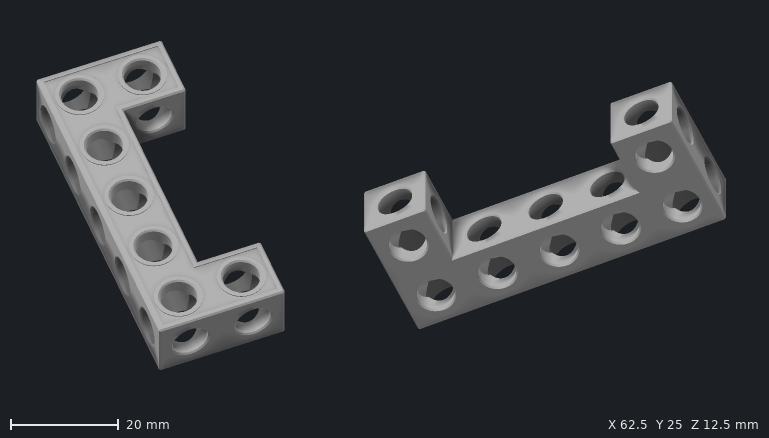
import cadquery as cq

pitch = 12.5
cells_long = 5
cells_deep = 2
length = cells_long * pitch
depth = cells_deep * pitch
height = pitch

edge_chamfer = 0.3
hole_diameter = 7.0
hole_chamfer = 0.3

border_width = 1.1
recess_depth = 0.2
ring_diameter = 9.2


def cell_center(index):
    return (index + 0.5) * pitch


def u_prism(inset, thickness):
    """Prism over the U outline moved inward by inset, standing on Z = 0."""
    right = length - inset
    back = depth - inset
    arm = pitch - inset
    outline = [
        (inset, inset),
        (right, inset),
        (right, back),
        (length - arm, back),
        (length - arm, arm),
        (arm, arm),
        (arm, back),
        (inset, back),
    ]
    return cq.Workplane("XY").polyline(outline).close().extrude(thickness)


def hole_cutter(through_length):
    """Cutter along +Z from the origin, flared by a chamfer at both mouths."""
    radius = hole_diameter / 2
    mouth_radius = radius + hole_chamfer
    profile = [
        (0, 0),
        (mouth_radius, 0),
        (radius, hole_chamfer),
        (radius, through_length - hole_chamfer),
        (mouth_radius, through_length),
        (0, through_length),
    ]
    return cq.Workplane("XZ").polyline(profile).close().revolve(360, (0, 0), (0, 1))


def hole_along_x(x, y, through_length):
    cutter = hole_cutter(through_length).rotate((0, 0, 0), (0, 1, 0), 90)
    return cutter.translate((x, y, height / 2))


def hole_along_y(x, through_length):
    cutter = hole_cutter(through_length).rotate((0, 0, 0), (1, 0, 0), -90)
    return cutter.translate((x, 0, height / 2))


end_columns = (0, cells_long - 1)
cell_centers = [(cell_center(column), cell_center(0)) for column in range(cells_long)]
cell_centers += [(cell_center(column), cell_center(1)) for column in end_columns]

body = u_prism(0, height)
inner_corners = [(pitch, pitch), (length - pitch, pitch)]
upright_edges = body.edges("|Z").filter(
    lambda edge: (round(edge.Center().x, 3), round(edge.Center().y, 3)) not in inner_corners
)
body = upright_edges.chamfer(edge_chamfer)
body = body.faces("<Z or >Z").edges().chamfer(edge_chamfer)

recess = u_prism(border_width, recess_depth)
rings = cq.Workplane("XY").pushPoints(cell_centers).circle(ring_diameter / 2).extrude(recess_depth)
body = body.cut(recess.cut(rings).translate((0, 0, height - recess_depth)))

for x, y in cell_centers:
    body = body.cut(hole_cutter(height).translate((x, y, 0)))

for column in range(cells_long):
    through_length = depth if column in end_columns else pitch
    body = body.cut(hole_along_y(cell_center(column), through_length))

body = body.cut(hole_along_x(0, cell_center(0), length))
for column in end_columns:
    body = body.cut(hole_along_x(column * pitch, cell_center(1), pitch))

result = body.translate((-length / 2, -depth / 2, -height / 2))